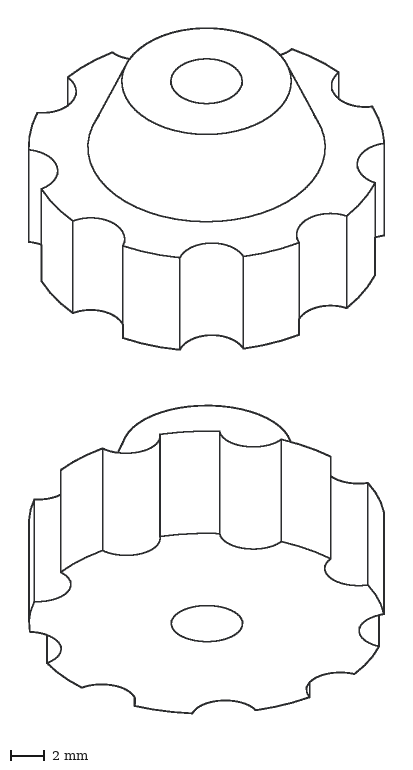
import cadquery as cq

disc_diameter = 21.0
total_height = 12.0
disc_height = 7.0
notch_count = 9
notch_radius = 2.0
notch_center_radius = 11.0

hub_base_diameter = 14.0
hub_top_diameter = 10.0
bore_diameter = 4.2


def grip_disc():
    """Disc with evenly spaced round notches, the first one on +X."""
    disc = cq.Workplane("XY").circle(disc_diameter / 2).extrude(disc_height)
    notches = (
        cq.Workplane("XY")
        .polarArray(notch_center_radius, 0, 360, notch_count)
        .circle(notch_radius)
        .extrude(disc_height)
    )
    return disc.cut(notches)


def tapered_hub():
    """Cone frustum standing on the top face of the disc."""
    return (
        cq.Workplane("XY")
        .workplane(offset=disc_height)
        .circle(hub_base_diameter / 2)
        .workplane(offset=total_height - disc_height)
        .circle(hub_top_diameter / 2)
        .loft(ruled=True)
    )


def through_bore():
    """Cylinder along the axis through the whole height."""
    return cq.Workplane("XY").circle(bore_diameter / 2).extrude(total_height)


result = grip_disc().union(tapered_hub()).cut(through_bore())